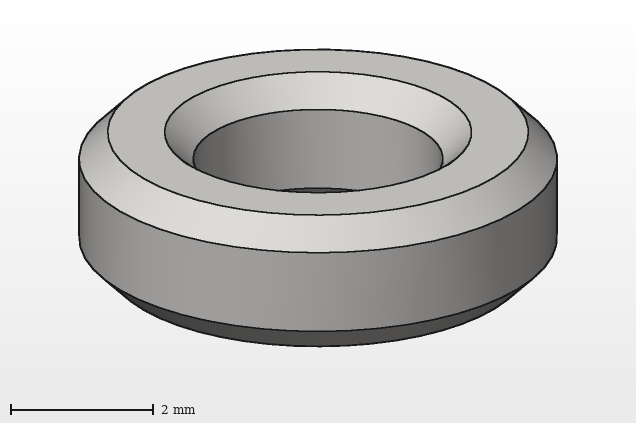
import cadquery as cq

outer_diameter = 6.7
bore_diameter = 3.5
thickness = 2.0
chamfer = 0.4

ring = (
    cq.Workplane("XY")
    .circle(outer_diameter / 2)
    .circle(bore_diameter / 2)
    .extrude(thickness)
)

result = ring.faces("<Z or >Z").edges().chamfer(chamfer)